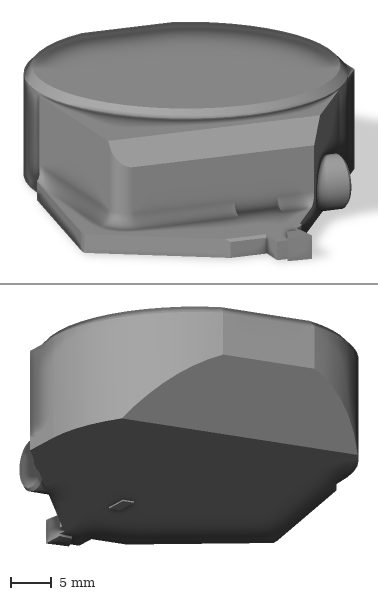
import cadquery as cq
import math

disc_radius = 20.0
disc_height = 14.0
rim_chamfer = 1.0
flat_x = -18.95
under_chamfer = 7.6

shoulder_height = 12.8
shoulder_x = 25.7
shoulder_y = -20.3
shoulder_corner_radius = 2.1
shoulder_bevel = 2.85
root_radius = 1.55

slant_start = (6.0, disc_radius)
slant_end = (32.65, 1.2)

flange_thickness = 2.4
flange_x = 35.75
flange_corner_y = -9.4
flange_low_y = -25.05
flange_low_x = (25.7, 26.6)
flange_edge_chamfer = 0.35
blend_radius = 4.5
blend_angle = math.radians(45)

stub_x = 20.9
stub_radius = 3.4
stub_end_y = 11.85
stub_start_y = 2.9
stub_chamfer = 0.4

pad_length = 3.65
pad_width = 1.55
pad_depth = 0.2

blade_y = (-4.55, slant_end[1])
blade_end_x = 38.9
blade_neck_start_x = 33.2
blade_neck_end_x = 34.3
blade_neck_radius = 2.05
tip_start_x = 35.55
tip_end_x = 39.15
tip_depth = 3.15
tip_inner_depth = 1.9
tip_inner_shift = 0.3
tip_drop = 0.3
tip_rise = 0.35
tip_start_rise = 0.1


def slant_y(x):
    """Y of the slanted side at a given X."""
    slope = (slant_end[1] - slant_start[1]) / (slant_end[0] - slant_start[0])
    return slant_start[1] + slope * (x - slant_start[0])


def blend_point(angle):
    """Point on the concave blend, which leaves the disc at its -Y point."""
    return (
        blend_radius * math.sin(angle),
        -disc_radius - blend_radius * (1 - math.cos(angle)),
    )


def make_disc():
    disc = cq.Workplane("XY").circle(disc_radius).extrude(disc_height)
    flat_cut = (
        cq.Workplane("XY", origin=(flat_x - disc_radius, 0, 0))
        .rect(2 * disc_radius, 3 * disc_radius)
        .extrude(disc_height)
    )
    disc = disc.cut(flat_cut).faces(">Z").chamfer(rim_chamfer)
    under_cut = (
        cq.Workplane("XZ")
        .moveTo(flat_x, 0)
        .lineTo(flat_x + under_chamfer, 0)
        .lineTo(flat_x, under_chamfer)
        .close()
        .extrude(disc_radius, both=True)
    )
    return disc.cut(under_cut)


def extrude_footprint(height):
    """Outline of flange and shoulder together, extruded from the underside."""
    return (
        cq.Workplane("XY")
        .moveTo(0, disc_radius)
        .lineTo(*slant_start)
        .lineTo(flange_x, slant_y(flange_x))
        .lineTo(flange_x, flange_corner_y)
        .lineTo(flange_low_x[1], flange_low_y)
        .lineTo(flange_low_x[0], flange_low_y)
        .lineTo(*blend_point(blend_angle))
        .threePointArc(blend_point(blend_angle / 2), (0, -disc_radius))
        .close()
        .extrude(height)
    )


def make_flange():
    flange = extrude_footprint(flange_thickness)
    return flange.faces(">X").edges(">Z").chamfer(flange_edge_chamfer)


def make_shoulder():
    """Block with one rounded corner and a bevel along its +X top edge."""
    block = (
        cq.Workplane("XY", origin=(0, disc_radius, 0))
        .rect(shoulder_x, shoulder_y - disc_radius, centered=False)
        .extrude(shoulder_height)
        .edges("|Z and >X and <Y")
        .fillet(shoulder_corner_radius)
    )
    bevel = (
        cq.Workplane("XZ")
        .moveTo(shoulder_x, shoulder_height)
        .lineTo(shoulder_x - shoulder_bevel, shoulder_height)
        .lineTo(shoulder_x, shoulder_height - shoulder_bevel)
        .close()
        .extrude(2 * disc_radius, both=True)
    )
    return block.cut(bevel)


def make_root_fillet():
    """Concave fillet swept round the foot of the shoulder."""
    corner_x = shoulder_x - shoulder_corner_radius
    corner_y = shoulder_y + shoulder_corner_radius
    path = (
        cq.Workplane("XY", origin=(0, 0, flange_thickness))
        .moveTo(0, shoulder_y)
        .lineTo(corner_x, shoulder_y)
        .radiusArc((shoulder_x, corner_y), -shoulder_corner_radius)
        .lineTo(shoulder_x, disc_radius)
    )
    mid = root_radius * (1 - math.sqrt(0.5))
    return (
        cq.Workplane("YZ", origin=(0, shoulder_y, flange_thickness))
        .lineTo(0, root_radius)
        .threePointArc((-mid, mid), (-root_radius, 0))
        .close()
        .sweep(path)
    )


def make_stub():
    stub = (
        cq.Workplane("XZ", origin=(stub_x, stub_end_y, stub_radius))
        .circle(stub_radius)
        .extrude(stub_end_y - stub_start_y)
    )
    return stub.faces(">Y").chamfer(stub_chamfer)


def make_pad():
    return (
        cq.Workplane("XY", origin=(stub_x, -pad_width / 2, -pad_depth))
        .rect(pad_length, pad_width)
        .extrude(pad_depth)
    )


def make_slot():
    return (
        cq.Workplane("XY", origin=(shoulder_x, blade_y[0], 0))
        .rect(flange_x - shoulder_x, blade_y[1] - blade_y[0], centered=False)
        .extrude(flange_thickness + root_radius)
    )


def make_housing():
    raised = make_shoulder().union(make_root_fillet()).intersect(extrude_footprint(shoulder_height))
    housing = make_flange().union(raised).union(make_disc())
    return housing.union(make_stub()).union(make_pad()).cut(make_slot())


def make_tip():
    """Cutting tip, rising toward its +X end."""
    prism = (
        cq.Workplane("XY", origin=(0, 0, -tip_drop))
        .moveTo(tip_start_x, 0)
        .lineTo(tip_end_x, 0)
        .lineTo(blade_end_x, -tip_depth)
        .lineTo(tip_start_x + tip_inner_shift, -tip_inner_depth)
        .close()
        .extrude(flange_thickness + tip_drop + tip_rise)
    )
    profile = (
        cq.Workplane("XZ")
        .moveTo(tip_start_x, -tip_drop)
        .lineTo(tip_end_x, -tip_drop)
        .lineTo(tip_end_x, flange_thickness + tip_rise)
        .lineTo(tip_start_x, flange_thickness + tip_start_rise)
        .close()
        .extrude(tip_depth)
    )
    return prism.intersect(profile)


def make_blade():
    blade = (
        cq.Workplane("XY")
        .moveTo(shoulder_x, blade_y[0])
        .lineTo(blade_end_x, blade_y[0])
        .lineTo(blade_end_x, 0)
        .lineTo(blade_neck_end_x, 0)
        .radiusArc((blade_neck_start_x, blade_y[1]), -blade_neck_radius)
        .lineTo(shoulder_x, blade_y[1])
        .close()
        .extrude(flange_thickness)
    )
    return blade.union(make_tip())


housing = make_housing()
blade = make_blade()
result = cq.Compound.makeCompound([housing.val(), blade.val()])